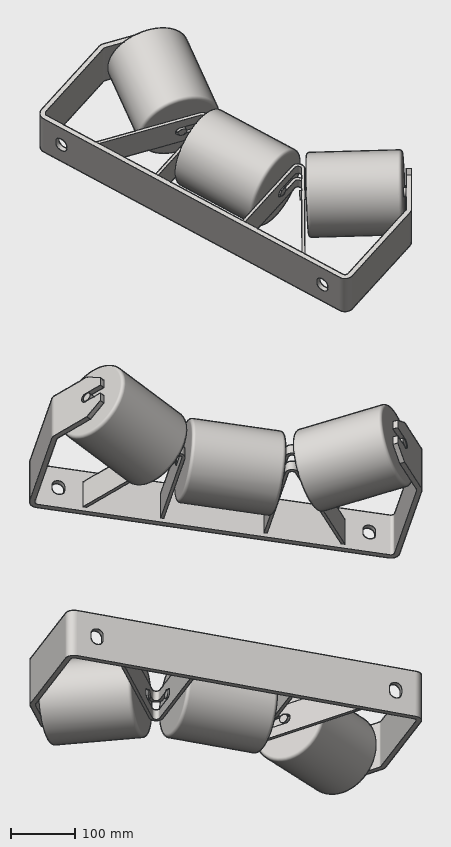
import math

import cadquery as cq


frame_width = 590.0
frame_height = 80.0
strap_thickness = 8.0
inner_bend_radius = 6.0
outer_bend_radius = inner_bend_radius + strap_thickness
side_depth = 174.5
ear_length = 101.0
ear_angle = 35.0
ear_chamfer_length = 28.5
ear_chamfer_height = 17.0

mounting_slot_width = 20.0
mounting_slot_height = 27.0
mounting_slot_inset = 47.0

roller_diameter = 133.0
roller_length = 150.0
roller_edge_radius = 5.5
axle_diameter = 15.0
axle_length = 173.5

sheet_thickness = 5.0
bracket_height = 50.0
bracket_spacing = 160.0
fold_inner_radius = 6.0
fold_outer_radius = fold_inner_radius + sheet_thickness
fold_y = 158.0

axle_slot_width = 16.0
slot_end_slack = 2.5
middle_axle_y = 124.5
middle_axle_z = -7.0
side_axle_from_ear_tip = 29.0

lean = math.radians(ear_angle)
ear_direction = cq.Vector(math.sin(lean), math.cos(lean), 0)
inward_direction = cq.Vector(math.cos(lean), -math.sin(lean), 0)

ear_corner = cq.Vector(-frame_width / 2, side_depth, 0)
ear_tip = ear_corner + ear_direction * ear_length
fold_center = cq.Vector(-bracket_spacing / 2 - fold_outer_radius, fold_y, 0)

side_axle_start = ear_tip - ear_direction * side_axle_from_ear_tip
ear_to_leg = (fold_center - side_axle_start).dot(inward_direction) - fold_outer_radius
side_roller_center = side_axle_start + inward_direction * ((ear_to_leg + strap_thickness) / 2)
side_tilt = math.degrees(math.atan2(-middle_axle_z, ear_to_leg))


def slot_cutter(end_center, open_direction, axle_direction, open_length, cut_length):
    """Round-ended slot that starts at its end radius and runs out along open_direction."""
    plane = cq.Plane(origin=end_center, xDir=open_direction, normal=axle_direction)
    round_end = cq.Workplane(plane).circle(axle_slot_width / 2).extrude(cut_length)
    straight = (
        cq.Workplane(plane)
        .center(open_length / 2, 0)
        .rect(open_length, axle_slot_width)
        .extrude(cut_length)
    )
    return round_end.union(straight)


def both_sides(left):
    return left.union(left.mirror("YZ"))


def make_strap():
    ear_miter = strap_thickness * math.tan(lean / 2)
    inner_x = -frame_width / 2 + strap_thickness
    back_outer = cq.Vector(-frame_width / 2, 0, 0)
    back_inner = cq.Vector(inner_x, strap_thickness, 0)
    ear_corner_inner = cq.Vector(inner_x, side_depth - ear_miter, 0)
    ear_tip_inner = ear_tip + inward_direction * strap_thickness

    left_outline = [back_outer, ear_corner, ear_tip, ear_tip_inner, ear_corner_inner, back_inner]
    left_points = [(point.x, point.y) for point in left_outline]
    right_points = [(-x, y) for x, y in reversed(left_points)]
    strap = (
        cq.Workplane("XY")
        .polyline(left_points + right_points)
        .close()
        .extrude(frame_height / 2, both=True)
    )

    bends = [
        (back_outer, outer_bend_radius),
        (ear_corner, outer_bend_radius),
        (back_inner, inner_bend_radius),
        (ear_corner_inner, inner_bend_radius),
    ]
    for corner, radius in bends:
        for side in (1, -1):
            bend_edge = cq.NearestToPointSelector((side * corner.x, corner.y, 0))
            strap = strap.edges(bend_edge).fillet(radius)
    return strap


def make_ear_cuts():
    """Corner chamfers and the open axle slot of the left ear."""
    ear_plane = cq.Plane(origin=ear_tip, xDir=ear_direction, normal=inward_direction)
    half_height = frame_height / 2
    slot_end_from_tip = side_axle_from_ear_tip + slot_end_slack
    cuts = slot_cutter(
        ear_tip - ear_direction * slot_end_from_tip,
        ear_direction,
        inward_direction,
        slot_end_from_tip,
        strap_thickness,
    )
    for side in (1, -1):
        corner = (
            cq.Workplane(ear_plane)
            .moveTo(0, side * half_height)
            .lineTo(-ear_chamfer_length, side * half_height)
            .lineTo(0, side * (half_height - ear_chamfer_height))
            .close()
            .extrude(strap_thickness)
        )
        cuts = cuts.union(corner)
    return cuts


def make_mounting_slots():
    slot_x = frame_width / 2 - mounting_slot_inset
    return (
        cq.Workplane("XZ")
        .pushPoints([(-slot_x, 0), (slot_x, 0)])
        .slot2D(mounting_slot_height, mounting_slot_width, 90)
        .extrude(-strap_thickness)
    )


def make_frame():
    return make_strap().cut(both_sides(make_ear_cuts())).cut(make_mounting_slots())


def make_left_bracket():
    def on_fold(direction, radius):
        point = fold_center + direction * radius
        return (point.x, point.y)

    def leg_foot(radius):
        """Foot of the leaning leg on the frame, for the face at this fold radius."""
        start = fold_center - inward_direction * radius
        foot = start - ear_direction * ((start.y - strap_thickness) / ear_direction.y)
        return (foot.x, foot.y)

    straight_side = cq.Vector(1, 0, 0)
    leaning_side = inward_direction * -1
    fold_top = (straight_side + leaning_side).normalized()

    sheet = (
        cq.Workplane("XY")
        .workplane(offset=middle_axle_z)
        .moveTo(fold_center.x + fold_outer_radius, strap_thickness)
        .lineTo(*on_fold(straight_side, fold_outer_radius))
        .threePointArc(on_fold(fold_top, fold_outer_radius), on_fold(leaning_side, fold_outer_radius))
        .lineTo(*leg_foot(fold_outer_radius))
        .lineTo(*leg_foot(fold_inner_radius))
        .lineTo(*on_fold(leaning_side, fold_inner_radius))
        .threePointArc(on_fold(fold_top, fold_inner_radius), on_fold(straight_side, fold_inner_radius))
        .lineTo(fold_center.x + fold_inner_radius, strap_thickness)
        .close()
        .extrude(bracket_height / 2, both=True)
    )

    height = cq.Vector(0, 0, middle_axle_z)
    straight_end = cq.Vector(fold_center.x, middle_axle_y - slot_end_slack, middle_axle_z)
    leaning_drop = (fold_center - side_axle_start).dot(ear_direction) + slot_end_slack
    leaning_end = fold_center - ear_direction * leaning_drop + height
    for end, along, across, drop in [
        (straight_end, cq.Vector(0, 1, 0), straight_side, fold_y - straight_end.y),
        (leaning_end, ear_direction, leaning_side, leaning_drop),
    ]:
        open_length = drop + fold_outer_radius
        sheet = sheet.cut(slot_cutter(end, along, across, open_length, fold_outer_radius))
    return sheet


def make_roller():
    """Roller with its axle along X, centred on the origin."""
    drum = (
        cq.Workplane("YZ")
        .workplane(offset=-roller_length / 2)
        .circle(roller_diameter / 2)
        .extrude(roller_length)
        .edges()
        .fillet(roller_edge_radius)
    )
    axle = (
        cq.Workplane("YZ")
        .workplane(offset=-axle_length / 2)
        .circle(axle_diameter / 2)
        .extrude(axle_length)
    )
    return drum.union(axle)


frame = make_frame()

left_bracket = make_left_bracket()
brackets = [left_bracket, left_bracket.mirror("YZ")]

middle_roller = make_roller().translate((0, middle_axle_y, middle_axle_z))
left_roller = (
    make_roller()
    .rotate((0, 0, 0), (0, 1, 0), side_tilt)
    .rotate((0, 0, 0), (0, 0, 1), -ear_angle)
    .translate((side_roller_center.x, side_roller_center.y, middle_axle_z / 2))
)
rollers = [left_roller, middle_roller, left_roller.mirror("YZ")]

bodies = [frame, *brackets, *rollers]
result = cq.Compound.makeCompound([body.val() for body in bodies])